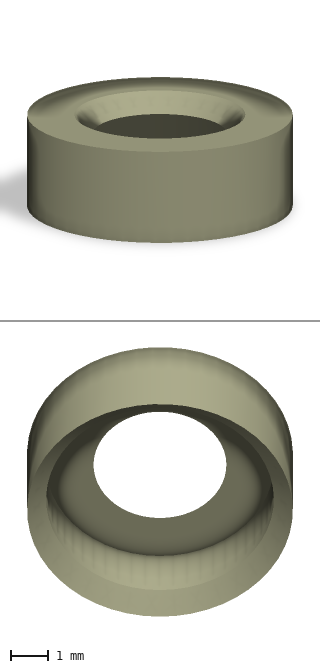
import cadquery as cq

outer_diameter = 7.0
height = 2.5
recess_diameter = 6.0
hole_diameter = 3.5

outer_radius = outer_diameter / 2
recess_radius = recess_diameter / 2
hole_radius = hole_diameter / 2
thickness = outer_radius - recess_radius
roof_underside = height - thickness

section = (
    cq.Workplane("XZ")
    .moveTo(outer_radius, 0)
    .lineTo(outer_radius, height)
    .lineTo(hole_radius + thickness, height)
    .lineTo(hole_radius, roof_underside)
    .lineTo(recess_radius, roof_underside)
    .lineTo(recess_radius, thickness)
    .close()
)

result = section.revolve(360, (0, 0, 0), (0, 1, 0))